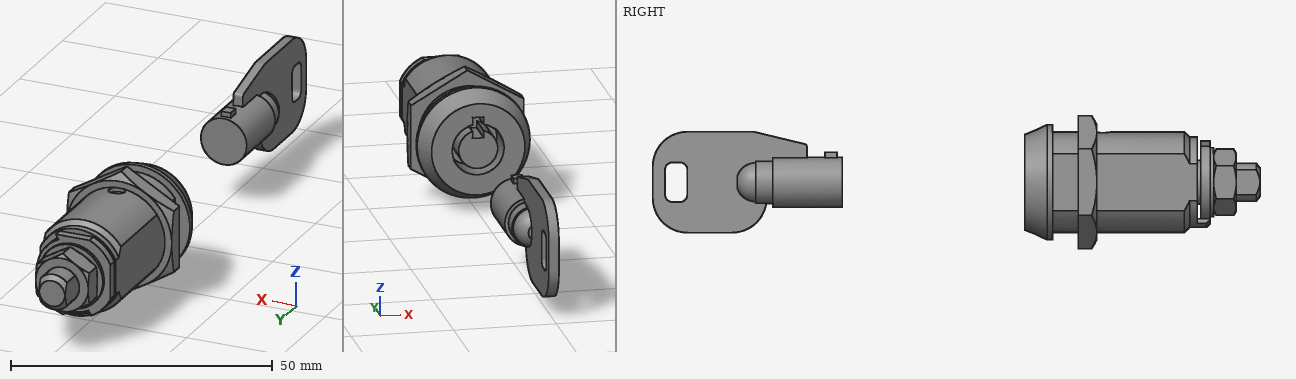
import cadquery as cq
import math


HEAD_RADIUS = 11.0
HEAD_FACE_RADIUS = 9.1
HEAD_CONE_END = 4.3
HEAD_BACK = 5.35
BARREL_RADIUS = 9.6
BARREL_ACROSS_FLATS = 15.8
BARREL_TAPER_START = 30.5
BARREL_TAPER_END = 31.5
BARREL_TAIL_RADIUS = 8.65
BARREL_END = 33.0
DIMPLE_RADIUS = 1.6
DIMPLE_CENTER = 14.9
DIMPLE_DEPTH = 1.0

NECK_RADIUS = 4.2
DISC_FRONT = 33.6
DISC_BACK = 35.4
DISC_RADIUS = 7.5
LOBE_RADIUS = BARREL_TAIL_RADIUS
LOBE_REACH = BARREL_ACROSS_FLATS / 2
RIB_INNER_RADIUS = 7.65
RIB_HALF_ANGLE = 25
RIB_START_ANGLE = 270 - RIB_HALF_ANGLE
LOBE_END_ANGLE = RIB_START_ANGLE - 1
RIB_CHAMFER = 0.7

STUD_RADIUS = 3.65
STUD_ACROSS_FLATS = 5.5
STUD_END = 45.0
STUD_CHAMFER_RADIAL = 1.0
STUD_CHAMFER_LENGTH = 0.8

NUT_CHAMFER_ANGLE = 30
MOUNTING_NUT_FLATS = 22.0
MOUNTING_NUT_FRONT = 10.2
MOUNTING_NUT_BACK = 13.8
STUD_NUT_FLATS = 11.0
STUD_NUT_BACK = 40.4
STUD_NUT_FLANGE_RADIUS = 6.6
STUD_NUT_FLANGE_THICKNESS = 0.7

TUBE_RADIUS = 4.8
TUBE_BACK = -34.8
TUBE_FRONT = -48.05
STEM_RADIUS = 4.1
STEM_FRONT = -51.3
DOME_RADIUS = 3.85
DOME_TIP_RADIUS = 1.6
BLADE_THICKNESS = 2.0
BLADE_HALF_HEIGHT = 9.65
BLADE_FRONT = -70.99
BLADE_BACK = -49.2
BLADE_CORNER_RADIUS = 6.65
FIN_BACK = -41.5
FIN_BACK_HEIGHT = 7.2
FIN_SLOPE_FRONT = -51.7
FIN_BOTTOM = 4.0
FIN_CORNER_RADIUS = 0.7
WINDOW_BACK = -64.4
WINDOW_FRONT = -68.6
WINDOW_HEIGHT = 7.5
WINDOW_CORNER_RADIUS = 1.35
TOOTH_BACK = -35.8
TOOTH_FRONT = -38.1
TOOTH_TOP = 5.75

KEYWAY_CLEARANCE = 0.25
KEYWAY_POST_RADIUS = 3.8
NOTCH_WIDTH = BLADE_THICKNESS + 0.2
NOTCH_BOTTOM = 2.25
NOTCH_TOP = 6.4
KEYWAY_DEPTH = TUBE_BACK - FIN_BACK


def cylinder(radius, start, end):
    """Round bar on the lock axis from one Y station to another."""
    return cq.Workplane("XZ", origin=(0, start, 0)).circle(radius).extrude(start - end)


def revolve_about_y(half_profile):
    """Turn a closed (radius, Y) half profile about the lock axis."""
    return half_profile.close().revolve(360, (0, 0, 0), (0, 1, 0))


def block(width, start, end, bottom, top):
    """Box centred on X between two Y stations and two Z heights."""
    return cq.Workplane("XY").box(width, end - start, top - bottom).translate(
        (0, (start + end) / 2, (bottom + top) / 2)
    )


def two_flats(across_flats, start, end):
    """Slab that trims a round bar to two flats facing -X and +X."""
    tall = 2 * HEAD_RADIUS
    return block(across_flats, start, end, -tall, tall)


def sector(outer_radius, start_angle, end_angle, start, end):
    """Pie slice of the XZ plane, its angles counted from +X toward +Z."""
    middle_angle = (start_angle + end_angle) / 2

    def rim(angle):
        turn = math.radians(angle)
        return (outer_radius * math.cos(turn), outer_radius * math.sin(turn))

    return (
        cq.Workplane("XZ", origin=(0, start, 0))
        .lineTo(*rim(start_angle))
        .threePointArc(rim(middle_angle), rim(end_angle))
        .close()
        .extrude(start - end)
    )


def make_head():
    return revolve_about_y(
        cq.Workplane("XY")
        .lineTo(HEAD_FACE_RADIUS, 0)
        .lineTo(HEAD_RADIUS, HEAD_CONE_END)
        .lineTo(HEAD_RADIUS, HEAD_BACK)
        .lineTo(0, HEAD_BACK)
    )


def make_barrel():
    turned = revolve_about_y(
        cq.Workplane("XY")
        .moveTo(0, HEAD_BACK)
        .lineTo(BARREL_RADIUS, HEAD_BACK)
        .lineTo(BARREL_RADIUS, BARREL_TAPER_START)
        .lineTo(BARREL_TAIL_RADIUS, BARREL_TAPER_END)
        .lineTo(BARREL_TAIL_RADIUS, BARREL_END)
        .lineTo(0, BARREL_END)
    )
    flatted = turned.intersect(two_flats(BARREL_ACROSS_FLATS, HEAD_BACK, BARREL_END))
    dimple = (
        cq.Workplane("XY", origin=(0, DIMPLE_CENTER, BARREL_RADIUS - DIMPLE_DEPTH))
        .circle(DIMPLE_RADIUS)
        .extrude(2 * DIMPLE_DEPTH)
    )
    return flatted.cut(dimple)


def make_stop_rib():
    """Arc-shaped rib on the barrel end, chamfered round its outer rear edge."""
    ring = revolve_about_y(
        cq.Workplane("XY")
        .moveTo(RIB_INNER_RADIUS, BARREL_END)
        .lineTo(BARREL_TAIL_RADIUS, BARREL_END)
        .lineTo(BARREL_TAIL_RADIUS, DISC_BACK - RIB_CHAMFER)
        .lineTo(BARREL_TAIL_RADIUS - RIB_CHAMFER, DISC_BACK)
        .lineTo(RIB_INNER_RADIUS, DISC_BACK)
    )
    rib_end_angle = 270 + RIB_HALF_ANGLE
    return ring.intersect(
        sector(2 * BARREL_TAIL_RADIUS, RIB_START_ANGLE, rib_end_angle, BARREL_END, DISC_BACK)
    )


def make_stop_disc():
    """Round disc with a lobe that has flats on top and toward -X and ends just short of the stop rib."""
    flat_half_angle = math.degrees(math.acos(LOBE_REACH / LOBE_RADIUS))
    lobe = sector(LOBE_RADIUS, 90 - flat_half_angle, LOBE_END_ANGLE, DISC_FRONT, DISC_BACK)
    lobe = lobe.intersect(two_flats(2 * LOBE_REACH, DISC_FRONT, DISC_BACK))
    lobe = lobe.intersect(block(2 * LOBE_RADIUS, DISC_FRONT, DISC_BACK, -LOBE_RADIUS, LOBE_REACH))
    return cylinder(DISC_RADIUS, DISC_FRONT, DISC_BACK).union(lobe)


def make_stud():
    turned = revolve_about_y(
        cq.Workplane("XY")
        .moveTo(0, DISC_BACK)
        .lineTo(STUD_RADIUS, DISC_BACK)
        .lineTo(STUD_RADIUS, STUD_END - STUD_CHAMFER_LENGTH)
        .lineTo(STUD_RADIUS - STUD_CHAMFER_RADIAL, STUD_END)
        .lineTo(0, STUD_END)
    )
    return turned.intersect(two_flats(STUD_ACROSS_FLATS, DISC_BACK, STUD_END))


def make_keyway():
    """Ring groove for the key tube, with a notch on top that also cuts into the centre post."""
    groove = cylinder(TUBE_RADIUS + KEYWAY_CLEARANCE, 0, KEYWAY_DEPTH)
    groove = groove.cut(cylinder(KEYWAY_POST_RADIUS, 0, KEYWAY_DEPTH))
    notch = block(NOTCH_WIDTH, 0, KEYWAY_DEPTH, NOTCH_BOTTOM, NOTCH_TOP)
    return groove.union(notch)


def make_housing():
    neck = cylinder(NECK_RADIUS, BARREL_END, DISC_FRONT)
    housing = make_head().union(make_barrel()).union(make_stop_rib())
    housing = housing.union(neck).union(make_stop_disc()).union(make_stud())
    return housing.cut(make_keyway())


def hexagon(across_flats, start, end):
    """Hexagonal bar with two of its corners on the Z axis."""
    across_corners = across_flats / math.cos(math.radians(30))
    flat_bar = cq.Workplane("XZ", origin=(0, start, 0)).polygon(6, across_corners).extrude(start - end)
    return flat_bar.rotate((0, 0, 0), (0, 1, 0), 30)


def corner_chamfer_cone(across_flats, end, inward):
    """Cone that trims hexagon corners at one end; inward is the Y direction into the nut."""
    inscribed_radius = across_flats / 2
    cone_height = inscribed_radius
    base_radius = inscribed_radius + cone_height / math.tan(math.radians(NUT_CHAMFER_ANGLE))
    return revolve_about_y(
        cq.Workplane("XY")
        .moveTo(0, end)
        .lineTo(inscribed_radius, end)
        .lineTo(base_radius, end + inward * cone_height)
        .lineTo(0, end + inward * cone_height)
    )


def make_mounting_nut():
    nut = hexagon(MOUNTING_NUT_FLATS, MOUNTING_NUT_FRONT, MOUNTING_NUT_BACK)
    nut = nut.intersect(corner_chamfer_cone(MOUNTING_NUT_FLATS, MOUNTING_NUT_BACK, -1))
    return nut.cut(cylinder(BARREL_RADIUS, MOUNTING_NUT_FRONT, MOUNTING_NUT_BACK))


def make_stud_nut():
    flange_back = DISC_BACK + STUD_NUT_FLANGE_THICKNESS
    nut = hexagon(STUD_NUT_FLATS, flange_back, STUD_NUT_BACK)
    nut = nut.intersect(corner_chamfer_cone(STUD_NUT_FLATS, STUD_NUT_BACK, -1))
    nut = nut.intersect(corner_chamfer_cone(STUD_NUT_FLATS, flange_back, 1))
    nut = nut.union(cylinder(STUD_NUT_FLANGE_RADIUS, DISC_BACK, flange_back))
    return nut.cut(cylinder(STUD_RADIUS, DISC_BACK, STUD_NUT_BACK))


def make_key_shaft():
    """Tube, thinner stem and a rounded end cut off flat at its tip."""
    dome_length = math.sqrt(DOME_RADIUS**2 - DOME_TIP_RADIUS**2)
    tip = STEM_FRONT - dome_length
    half_way = math.asin(dome_length / DOME_RADIUS) / 2
    dome_middle = (DOME_RADIUS * math.cos(half_way), STEM_FRONT - DOME_RADIUS * math.sin(half_way))
    return revolve_about_y(
        cq.Workplane("XY")
        .moveTo(0, TUBE_BACK)
        .lineTo(TUBE_RADIUS, TUBE_BACK)
        .lineTo(TUBE_RADIUS, TUBE_FRONT)
        .lineTo(STEM_RADIUS, TUBE_FRONT)
        .lineTo(STEM_RADIUS, STEM_FRONT)
        .lineTo(DOME_RADIUS, STEM_FRONT)
        .threePointArc(dome_middle, (DOME_TIP_RADIUS, tip))
        .lineTo(0, tip)
    )


def blade_plate(outline):
    """Extrude a closed (Y, Z) outline to the blade thickness, centred on X = 0."""
    return outline.extrude(BLADE_THICKNESS / 2, both=True)


def make_blade():
    length = BLADE_BACK - BLADE_FRONT
    middle = (BLADE_BACK + BLADE_FRONT) / 2
    grip = blade_plate(cq.Workplane("YZ").center(middle, 0).rect(length, 2 * BLADE_HALF_HEIGHT))
    grip = grip.edges("|X and (<Y or <Z)").fillet(BLADE_CORNER_RADIUS)

    fin = blade_plate(
        cq.Workplane("YZ")
        .moveTo(FIN_BACK, FIN_BOTTOM)
        .lineTo(FIN_BACK, FIN_BACK_HEIGHT)
        .lineTo(FIN_SLOPE_FRONT, BLADE_HALF_HEIGHT)
        .lineTo(FIN_SLOPE_FRONT, FIN_BOTTOM)
        .close()
    )
    fin = fin.edges("|X and >Y").edges(">Z").fillet(FIN_CORNER_RADIUS)
    outside_slope = blade_plate(
        cq.Workplane("YZ")
        .moveTo(FIN_SLOPE_FRONT, BLADE_HALF_HEIGHT)
        .lineTo(BLADE_BACK, BLADE_HALF_HEIGHT)
        .lineTo(BLADE_BACK, FIN_BOTTOM)
        .lineTo(FIN_SLOPE_FRONT, FIN_BOTTOM)
        .close()
    )
    window_length = WINDOW_BACK - WINDOW_FRONT
    window_middle = (WINDOW_BACK + WINDOW_FRONT) / 2
    window = blade_plate(cq.Workplane("YZ").center(window_middle, 0).rect(window_length, WINDOW_HEIGHT))
    window = window.edges("|X").fillet(WINDOW_CORNER_RADIUS)
    return grip.cut(outside_slope).union(fin).cut(window)


def make_key():
    tooth = block(BLADE_THICKNESS, TOOTH_FRONT, TOOTH_BACK, 0, TOOTH_TOP)
    return make_key_shaft().union(tooth).union(make_blade())


housing = make_housing()
mounting_nut = make_mounting_nut()
stud_nut = make_stud_nut()
key = make_key()

result = cq.Compound.makeCompound([housing.val(), mounting_nut.val(), stud_nut.val(), key.val()])